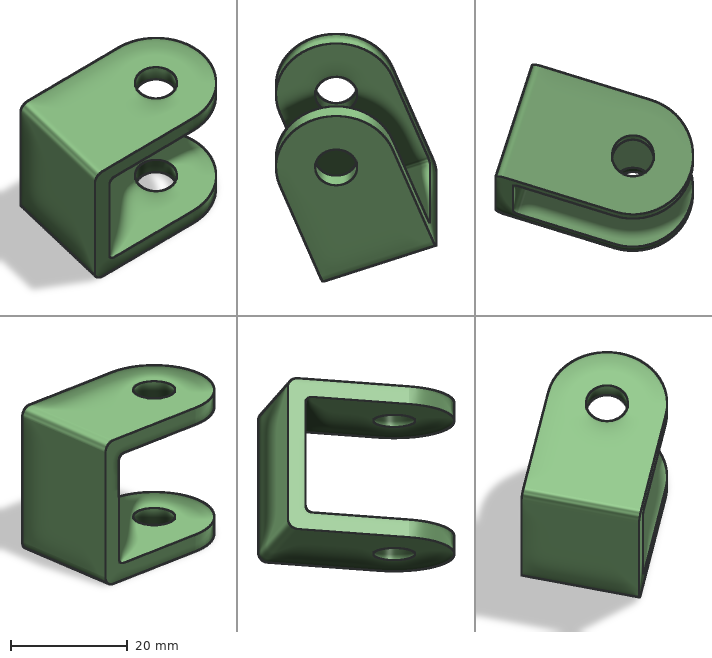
import cadquery as cq

width = 20.65
length = 31.75
height = 27.0
thickness = 3.18
hole_diameter = 7.18
outer_bend_radius = 1.75
inner_bend_radius = 1.1

ear_radius = width / 2
hole_y = length / 2 - ear_radius
web_y = -length / 2


def channel():
    """U-shaped channel, open towards +Y, with rounded bends."""
    outside = (
        cq.Workplane("XY")
        .box(width, length, height)
        .edges("|X and <Y")
        .fillet(outer_bend_radius)
    )
    opening = (
        cq.Workplane("XY")
        .box(width, length, height - 2 * thickness)
        .edges("|X and <Y")
        .fillet(inner_bend_radius)
        .translate((0, thickness, 0))
    )
    return outside.cut(opening)


def ear_outline():
    """Full-height solid whose +Y end is a half circle around the hole axis."""
    return (
        cq.Workplane("XY", origin=(0, 0, -height / 2))
        .moveTo(-ear_radius, web_y)
        .lineTo(ear_radius, web_y)
        .lineTo(ear_radius, hole_y)
        .threePointArc((0, length / 2), (-ear_radius, hole_y))
        .close()
        .extrude(height)
    )


def pin_hole():
    """Cylinder that passes through both ears."""
    return (
        cq.Workplane("XY", origin=(0, hole_y, -height / 2))
        .circle(hole_diameter / 2)
        .extrude(height)
    )


result = channel().intersect(ear_outline()).cut(pin_hole())